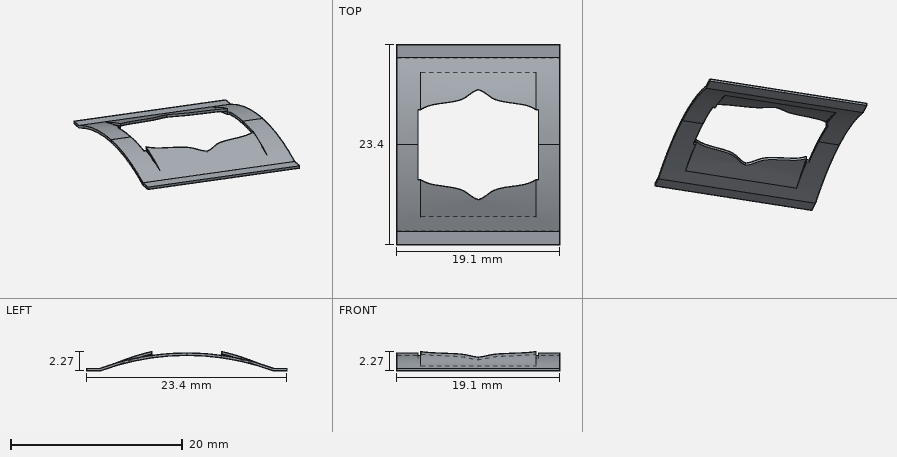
import cadquery as cq
import math

WIDTH = 19.05
LENGTH = 23.37
THICKNESS = 0.3
CROWN_HEIGHT = 2.1
FLANGE_LENGTH = 1.55

WINDOW_WIDTH = 14.02
WINDOW_HALF_LENGTH = 4.07

TAB_WIDTH = 13.45
TAB_BASE_Y = 8.44
TAB_LIFT = 5.6
NOTCH_Y = 6.4
WAVE_POINTS = [
    (0, NOTCH_Y),
    (0.77, 6.03),
    (1.6, 5.45),
    (2.8, 5.02),
    (4.45, 4.8),
    (TAB_WIDTH / 2, WINDOW_HALF_LENGTH),
]

half_length = LENGTH / 2
arch_end_y = half_length - FLANGE_LENGTH
arch_rise = CROWN_HEIGHT - THICKNESS
outer_radius = (arch_end_y**2 + arch_rise**2) / (2 * arch_rise)
inner_radius = outer_radius - THICKNESS
axis_z = CROWN_HEIGHT - outer_radius
lower_arch_end_y = math.sqrt(inner_radius**2 - axis_z**2)


def arch_point(radius, y):
    """Point (Y, Z) on an arch arc at distance y from the seam."""
    return (y, axis_z + math.sqrt(radius**2 - y**2))


def lifted(point):
    """Turn a (Y, Z) point about the tab's bend line so that the tab tip rises."""
    pivot_y, pivot_z = arch_point(outer_radius, TAB_BASE_Y)
    angle = math.radians(-TAB_LIFT)
    dy = point[0] - pivot_y
    dz = point[1] - pivot_z
    return (
        pivot_y + dy * math.cos(angle) - dz * math.sin(angle),
        pivot_z + dy * math.sin(angle) + dz * math.cos(angle),
    )


def make_arched_sheet():
    """Half of the plain arched sheet with its flat flange, on the +Y side."""
    return (
        cq.Workplane("YZ")
        .moveTo(*arch_point(outer_radius, 0))
        .threePointArc(arch_point(outer_radius, arch_end_y / 2), (arch_end_y, THICKNESS))
        .lineTo(half_length, THICKNESS)
        .lineTo(half_length, 0)
        .lineTo(lower_arch_end_y, 0)
        .threePointArc(
            arch_point(inner_radius, lower_arch_end_y / 2), arch_point(inner_radius, 0)
        )
        .close()
        .extrude(WIDTH / 2, both=True)
    )


def make_opening():
    """Window and the opening left behind by the tab, cut straight through."""
    cut_height = 2 * CROWN_HEIGHT
    window = cq.Workplane("XY").box(WINDOW_WIDTH, 2 * WINDOW_HALF_LENGTH, cut_height)
    tab_gap = cq.Workplane("XY").box(TAB_WIDTH, 2 * TAB_BASE_Y, cut_height)
    return window.union(tab_gap)


def make_tab():
    """Curved tab rising from its bend line and trimmed to the wavy edge."""
    tip_y = WINDOW_HALF_LENGTH / 2
    middle_y = (TAB_BASE_Y + tip_y) / 2
    strip = (
        cq.Workplane("YZ")
        .moveTo(*arch_point(outer_radius, TAB_BASE_Y))
        .threePointArc(
            lifted(arch_point(outer_radius, middle_y)), lifted(arch_point(outer_radius, tip_y))
        )
        .lineTo(*lifted(arch_point(inner_radius, tip_y)))
        .threePointArc(
            lifted(arch_point(inner_radius, middle_y)),
            lifted(arch_point(inner_radius, TAB_BASE_Y)),
        )
        .lineTo(*arch_point(inner_radius, TAB_BASE_Y))
        .close()
        .extrude(TAB_WIDTH / 2, both=True)
    )
    left_wave_points = [(-x, y) for x, y in reversed(WAVE_POINTS)]
    outline = (
        cq.Workplane("XY")
        .moveTo(TAB_WIDTH / 2, TAB_BASE_Y)
        .lineTo(-TAB_WIDTH / 2, TAB_BASE_Y)
        .lineTo(*left_wave_points[0])
        .spline(left_wave_points[1:], includeCurrent=True)
        .spline(WAVE_POINTS[1:], includeCurrent=True)
        .close()
        .extrude(2 * CROWN_HEIGHT)
    )
    return strip.intersect(outline)


def make_half_frame(turn):
    """One half of the frame with its tab, turned about Z; the halves meet at Y = 0."""
    half_frame = make_arched_sheet().cut(make_opening()).union(make_tab())
    return half_frame.rotate((0, 0, 0), (0, 0, 1), turn)


half_frames = [make_half_frame(turn).solids().val() for turn in (0, 180)]

result = cq.Compound.makeCompound([*half_frames])